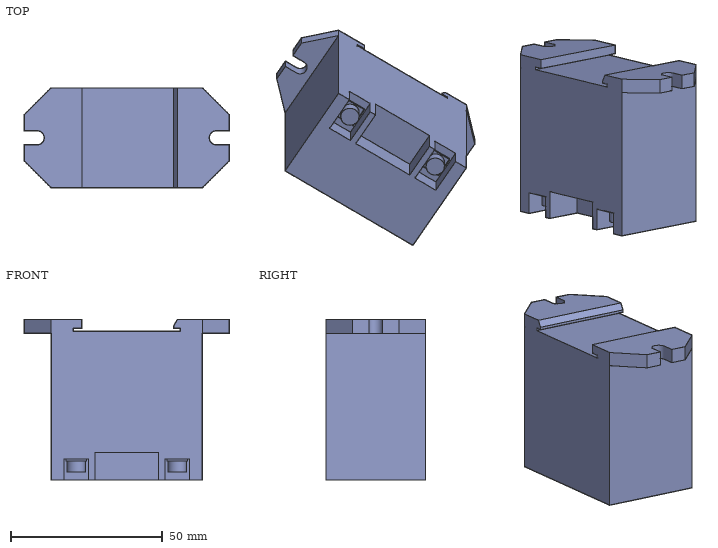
import cadquery as cq

total_length = 67.82
body_width = 33.02
total_height = 53.09

tab_reach = 8.89
tab_thickness = 4.57
slot_width = 4.57
slot_depth = 6.60
body_length = total_length - 2 * tab_reach

channel_depth = 3.86
channel_length = 35.3
lip_thickness = 2.95
square_lip_x = -14.80
hooked_lip_x = 15.50
hook_ramp_length = 1.20
hook_ramp_height = 2.11

terminal_offset = 16.70
terminal_pocket_length = 8.13
terminal_pocket_height = 6.99
screw_diameter = 6.10
screw_setback = 6.10
screw_length = 4.23
plate_size = 6.90
plate_thickness = 0.74
pocket_depth = 2 * screw_setback

middle_pocket_length = 21.1
middle_pocket_height = 9.09

front_y = -body_width / 2


def make_body():
    return cq.Workplane("XY").box(body_length, body_width, total_height, centered=(True, True, False))


def make_top_flange():
    """Plate with chamfered corners whose ends overhang the body as tabs."""
    return (
        cq.Workplane("XY")
        .workplane(offset=total_height - tab_thickness)
        .rect(total_length, body_width)
        .extrude(tab_thickness)
        .edges("|Z")
        .chamfer(tab_reach)
    )


def make_tab_slots():
    """Round-ended screw slots, open at the outer end of each tab."""
    return (
        cq.Workplane("XY")
        .workplane(offset=total_height - tab_thickness)
        .pushPoints([(-total_length / 2, 0), (total_length / 2, 0)])
        .slot2D(2 * slot_depth, slot_width)
        .extrude(tab_thickness)
    )


def make_rail_channel():
    """Undercut channel with one square lip and one ramped hook lip."""
    floor_z = total_height - channel_depth
    lip_z = total_height - lip_thickness
    half_length = channel_length / 2
    return (
        cq.Workplane("XZ")
        .moveTo(-half_length, floor_z)
        .lineTo(half_length, floor_z)
        .lineTo(half_length, lip_z)
        .lineTo(hooked_lip_x, lip_z)
        .lineTo(hooked_lip_x, total_height - hook_ramp_height)
        .lineTo(hooked_lip_x + hook_ramp_length, total_height)
        .lineTo(square_lip_x, total_height)
        .lineTo(square_lip_x, lip_z)
        .lineTo(-half_length, lip_z)
        .close()
        .extrude(body_width / 2, both=True)
    )


def make_pocket(center_x, length, height):
    """Rectangular pocket open to the -Y face and to the base."""
    return (
        cq.Workplane("XY")
        .center(center_x, front_y + pocket_depth / 2)
        .rect(length, pocket_depth)
        .extrude(height)
    )


def make_terminal(center_x):
    """Square clamp plate with a screw hanging from the pocket ceiling."""
    ceiling = (
        cq.Workplane("XY")
        .workplane(offset=terminal_pocket_height)
        .center(center_x, front_y + screw_setback)
    )
    plate = ceiling.rect(plate_size, plate_size).extrude(-plate_thickness)
    screw = ceiling.circle(screw_diameter / 2).extrude(-screw_length)
    return plate.union(screw)


result = make_body().union(make_top_flange())
result = result.cut(make_tab_slots()).cut(make_rail_channel())
result = result.cut(make_pocket(0, middle_pocket_length, middle_pocket_height))
for terminal_x in (-terminal_offset, terminal_offset):
    result = result.cut(make_pocket(terminal_x, terminal_pocket_length, terminal_pocket_height))
    result = result.union(make_terminal(terminal_x))